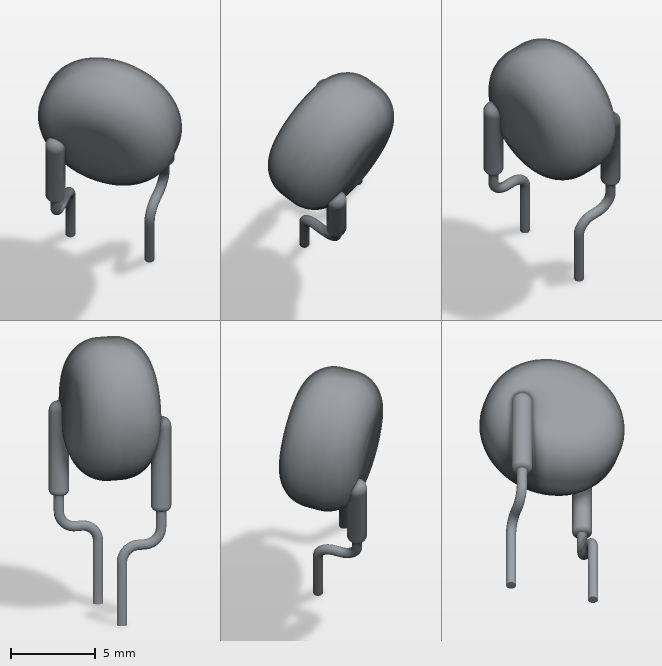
import cadquery as cq

disc_diameter = 8.5
disc_thickness = 4.8
disc_edge_radius = 2.0

sleeve_diameter = 1.2
sleeve_length = 5.75
sleeve_top_radius = 0.59
sleeve_bottom_radius = 0.3
sleeve_x = 2.5
sleeve_y = disc_thickness / 2

overall_height = 16.8
wire_diameter = 0.6
wire_neck_length = 1.0
bend_radius = 0.99
wire_bottom_z = disc_diameter / 2 - overall_height

lead_sides = (-1, 1)


def make_disc():
    """Flat disc with large rounded edges on both faces."""
    return (
        cq.Workplane("XZ", origin=(0, disc_thickness / 2, 0))
        .circle(disc_diameter / 2)
        .extrude(disc_thickness)
        .edges()
        .fillet(disc_edge_radius)
    )


def make_sleeve(side):
    """Sleeve with a domed top level with the disc centre."""
    return (
        cq.Workplane("XY")
        .circle(sleeve_diameter / 2)
        .extrude(-sleeve_length)
        .faces(">Z").edges().fillet(sleeve_top_radius)
        .faces("<Z").edges().fillet(sleeve_bottom_radius)
        .translate((side * sleeve_x, side * sleeve_y, 0))
    )


def make_coating():
    """Disc and both sleeves as one continuous coating."""
    coating = make_disc()
    for side in lead_sides:
        coating = coating.union(make_sleeve(side))
    return coating


def make_lead(side):
    """Round wire from the sleeve's end, cranked inward to the Y = 0 plane."""
    bend_start_z = -sleeve_length - wire_neck_length
    crossing_z = bend_start_z - bend_radius
    bend_end_z = crossing_z - bend_radius
    path = (
        cq.Workplane("YZ", origin=(side * sleeve_x, 0, 0))
        .moveTo(side * sleeve_y, -sleeve_length)
        .lineTo(side * sleeve_y, bend_start_z)
        .tangentArcPoint((side * (sleeve_y - bend_radius), crossing_z), relative=False)
        .lineTo(side * bend_radius, crossing_z)
        .tangentArcPoint((0, bend_end_z), relative=False)
        .lineTo(0, wire_bottom_z)
    )
    return (
        cq.Workplane("XY", origin=(side * sleeve_x, side * sleeve_y, -sleeve_length))
        .circle(wire_diameter / 2)
        .sweep(path)
    )


coating = make_coating()
leads = [make_lead(side) for side in lead_sides]

result = cq.Compound.makeCompound([coating.solids().val(), *[lead.val() for lead in leads]])